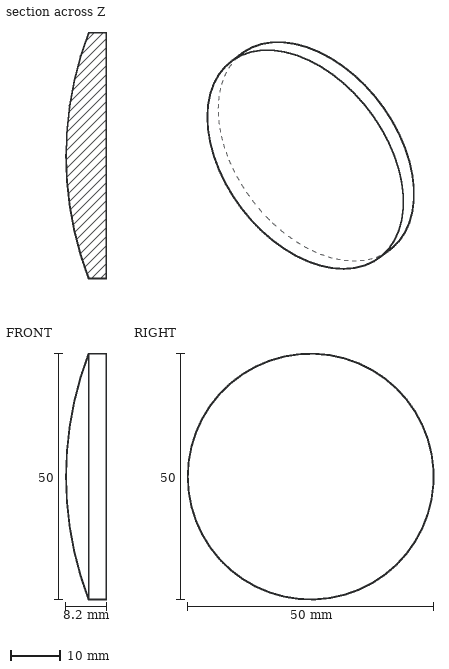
import cadquery as cq

diameter = 50.0
center_thickness = 8.2
edge_thickness = 3.6

radius = diameter / 2
sag = center_thickness - edge_thickness
sphere_radius = (radius**2 + sag**2) / (2 * sag)

mid_height = radius / 2
mid_x = (sphere_radius**2 - mid_height**2) ** 0.5 - sphere_radius

profile = (
    cq.Workplane("XY")
    .moveTo(0, 0)
    .threePointArc((-mid_x, -mid_height), (sag, -radius))
    .lineTo(center_thickness, -radius)
    .lineTo(center_thickness, 0)
    .close()
)

result = profile.revolve(360, (0, 0, 0), (1, 0, 0))